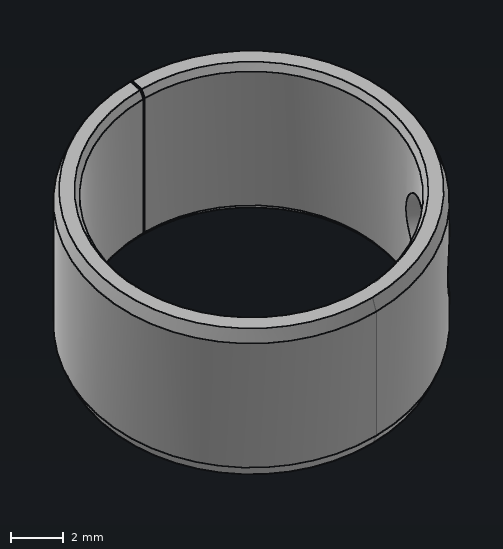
import cadquery as cq
import math

outer_diameter = 15.0
inner_diameter = 13.0
height = 8.0

outer_bevel_height = 0.6
outer_bevel_angle = 20.0
inner_bevel_height = 0.33
inner_bevel_depth = 0.2

slit_width = 0.08
oil_hole_diameter = 4.0
oil_hole_angle = 59.0

outer_radius = outer_diameter / 2
inner_radius = inner_diameter / 2
half_height = height / 2
outer_bevel_depth = outer_bevel_height * math.tan(math.radians(outer_bevel_angle))


def make_sleeve():
    """Revolve the bevelled wall section, centred on the origin, about Z."""
    rim_outer = outer_radius - outer_bevel_depth
    rim_inner = inner_radius + inner_bevel_depth
    outer_edge = half_height - outer_bevel_height
    inner_edge = half_height - inner_bevel_height
    section = [
        (inner_radius, -inner_edge),
        (rim_inner, -half_height),
        (rim_outer, -half_height),
        (outer_radius, -outer_edge),
        (outer_radius, outer_edge),
        (rim_outer, half_height),
        (rim_inner, half_height),
        (inner_radius, inner_edge),
    ]
    return cq.Workplane("XZ").polyline(section).close().revolve(360, (0, 0), (0, 1))


def make_slit():
    """Full-height cut through the wall on the -X side, with one face on the XZ plane."""
    return cq.Workplane("XY").box(outer_radius, slit_width, height).translate((-outer_radius, slit_width / 2, 0))


def make_oil_hole():
    """Radial hole from the axis outward, at mid-height."""
    angle = math.radians(oil_hole_angle)
    direction = cq.Vector(math.cos(angle), math.sin(angle), 0)
    drill = cq.Solid.makeCylinder(
        oil_hole_diameter / 2, outer_diameter, cq.Vector(0, 0, 0), direction
    )
    return cq.Workplane(obj=drill)


result = make_sleeve().cut(make_slit()).cut(make_oil_hole())